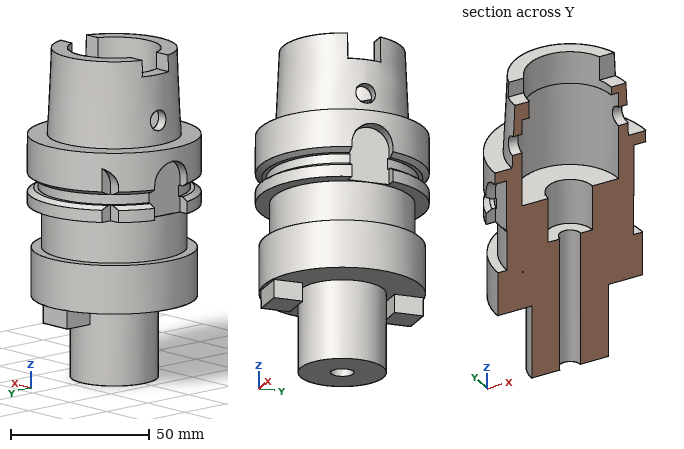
import cadquery as cq

total_height = 122.0
collar_bottom = 30.0
collar_top = 48.1
flange_bottom = 64.3
flange_top = 90.0

shank_radius = 16.0
collar_radius = 30.1
neck_radius = 26.4
flange_radius = 31.5
taper_base_radius = 24.3
taper_tip_radius = 22.8

groove_radius = 27.6
groove_outer_bottom = 68.8
groove_inner_bottom = 70.2
groove_inner_top = 74.2
groove_outer_top = 75.6
groove_mouth_radius = 29.2

lip_radius = 17.0
lip_length = 13.2
chamber_radius = 20.0
chamber_floor = 73.2
counterbore_radius = 9.2
counterbore_floor = 54.9
through_radius = 4.3
cross_hole_radius = 3.8
cross_hole_height = 99.1

tip_slot_width = 12.7
shallow_slot_depth = 6.1
deep_slot_depth = 9.8
key_width = 12.9
key_height = 7.0
key_inner = 17.8
key_outer = 28.9

arch_radius = 7.9
arch_top = 85.2
arch_floor = 26.6
notch_corner = 20.0


def turned_body():
    profile = [
        (0, 0),
        (shank_radius, 0),
        (shank_radius, collar_bottom),
        (collar_radius, collar_bottom),
        (collar_radius, collar_top),
        (neck_radius, collar_top),
        (neck_radius, flange_bottom),
        (flange_radius, flange_bottom),
        (flange_radius, groove_outer_bottom),
        (groove_mouth_radius, groove_inner_bottom),
        (groove_radius, groove_inner_bottom),
        (groove_radius, groove_inner_top),
        (groove_mouth_radius, groove_inner_top),
        (flange_radius, groove_outer_top),
        (flange_radius, flange_top),
        (taper_base_radius, flange_top),
        (taper_tip_radius, total_height),
        (0, total_height),
    ]
    return cq.Workplane("XZ").polyline(profile).close().revolve(360, (0, 0), (0, 1))


def bore(radius, bottom, top):
    return cq.Workplane("XY").workplane(offset=bottom).circle(radius).extrude(top - bottom)


def axial_bores():
    lip_bottom = total_height - lip_length
    return (
        bore(lip_radius, lip_bottom, total_height)
        .union(bore(chamber_radius, chamber_floor, lip_bottom))
        .union(bore(counterbore_radius, counterbore_floor, chamber_floor))
        .union(bore(through_radius, 0, counterbore_floor))
    )


def cross_hole():
    return (
        cq.Workplane("YZ")
        .center(0, cross_hole_height)
        .circle(cross_hole_radius)
        .extrude(flange_radius, both=True)
    )


def tip_slot(side, depth):
    return cq.Workplane("XY").box(flange_radius, tip_slot_width, depth).translate(
        (side * flange_radius / 2, 0, total_height - depth / 2)
    )


def arched_cut(side, y_center, floor):
    """Round-topped slot along X, open at the flange bottom and outside."""
    spring_height = arch_top - arch_radius
    return (
        cq.Workplane("YZ", origin=(side * floor, y_center, 0))
        .moveTo(-arch_radius, flange_bottom)
        .lineTo(-arch_radius, spring_height)
        .threePointArc((0, arch_top), (arch_radius, spring_height))
        .lineTo(arch_radius, flange_bottom)
        .close()
        .extrude(side * flange_radius)
    )


def drive_key(side):
    return cq.Workplane("XY").box(key_width, key_outer - key_inner, key_height).translate(
        (0, side * (key_inner + key_outer) / 2, collar_bottom - key_height / 2)
    )


result = turned_body().cut(axial_bores()).cut(cross_hole())
result = result.cut(tip_slot(-1, shallow_slot_depth)).cut(tip_slot(1, deep_slot_depth))

for side in (-1, 1):
    result = result.cut(arched_cut(side, 0, arch_floor))
    result = result.union(drive_key(side))

result = result.cut(arched_cut(-1, notch_corner + arch_radius, notch_corner))